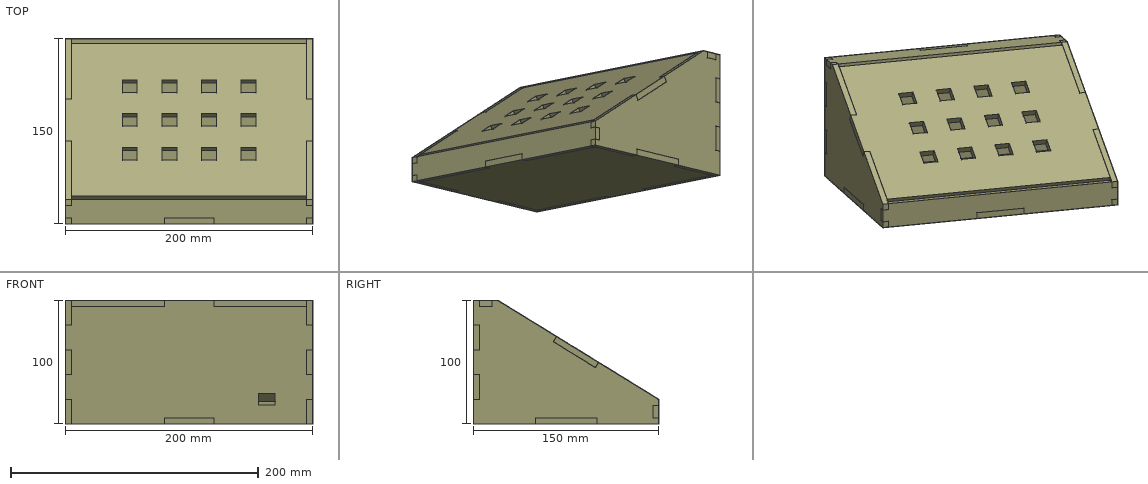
import cadquery as cq
import math


width = 200.0
depth = 150.0
tall_height = 100.0
low_height = 20.0
ridge_depth = 20.0
sheet = 5.0

centre_tab = 40.0
floor_side_tab = 50.0
short_tab = 10.0
finger_count = 5
finger_height = tall_height / finger_count

cover_start = 3.0
cover_length = 144.8

key_size = 12.0
key_pitch = 32.0
key_columns = 4
key_rows = 3

window_width = 13.5
window_height = 9.2
window_x = 162.8
window_z = 20.0

slope_run = depth - ridge_depth
slope_rise = tall_height - low_height
slope_angle = math.atan2(slope_rise, slope_run)
cover_end = cover_start + cover_length
cover_middle = cover_start + cover_length / 2

slope_plane = cq.Plane(
    origin=(0, ridge_depth, tall_height),
    xDir=(1, 0, 0),
    normal=(0, math.sin(slope_angle), math.cos(slope_angle)),
)


def block(x_range, y_range, z_range, plane="XY"):
    """Box between the given limits, measured in the given plane."""
    size = [high - low for low, high in (x_range, y_range, z_range)]
    centre = [(low + high) / 2 for low, high in (x_range, y_range, z_range)]
    return cq.Workplane(plane).workplane(offset=centre[2]).center(*centre[:2]).box(*size)


def span(middle, length):
    """Limits of a length centred on a position."""
    return (middle - length / 2, middle + length / 2)


middle_x = width / 2
across = (0, width)
between_sides = (sheet, width - sheet)
middle_tab_x = span(middle_x, centre_tab)
floor_z = (0, sheet)
roof_z = (tall_height - sheet, tall_height)
tall_wall_y = (0, sheet)
low_wall_y = (depth - sheet, depth)
cover_z = (-sheet, 0)


def floor_panel():
    body = block(between_sides, (sheet, depth - sheet), floor_z)
    side_tabs = block(across, span(depth / 2, floor_side_tab), floor_z)
    wall_tabs = block(middle_tab_x, (0, depth), floor_z)
    return body.union(side_tabs).union(wall_tabs)


def roof_panel():
    body = block(between_sides, (0, ridge_depth), roof_z)
    side_tabs = block(across, span(ridge_depth / 2, short_tab), roof_z)
    wall_notch = block(middle_tab_x, tall_wall_y, roof_z)
    return body.union(side_tabs).cut(wall_notch)


def tall_wall_panel(floor, roof):
    body = block(between_sides, tall_wall_y, (0, tall_height))
    for finger in range(1, finger_count, 2):
        finger_z = (finger * finger_height, (finger + 1) * finger_height)
        body = body.union(block(across, tall_wall_y, finger_z))
    window = block(span(window_x, window_width), tall_wall_y, span(window_z, window_height))
    return body.cut(window).cut(floor).cut(roof)


def low_wall_panel(floor):
    body = block(between_sides, low_wall_y, (0, low_height))
    side_tabs = block(across, low_wall_y, span(low_height / 2, short_tab))
    return body.union(side_tabs).cut(floor)


def sloped_cover():
    body = block(between_sides, (cover_start, cover_end), cover_z, slope_plane)
    side_tabs = block(across, span(cover_middle, centre_tab), cover_z, slope_plane)
    key_openings = (
        cq.Workplane(slope_plane)
        .center(middle_x, cover_middle)
        .rarray(key_pitch, key_pitch, key_columns, key_rows)
        .rect(key_size, key_size)
        .extrude(-sheet)
    )
    return body.union(side_tabs).cut(key_openings)


def side_panel(start_x, neighbours):
    """Side panel starting at the given X, notched for the tabs of the panels between the sides."""
    outline = [
        (0, 0),
        (depth, 0),
        (depth, low_height),
        (ridge_depth, tall_height),
        (0, tall_height),
    ]
    body = cq.Workplane("YZ", origin=(start_x, 0, 0)).polyline(outline).close().extrude(sheet)
    for neighbour in neighbours:
        body = body.cut(neighbour)
    return body


floor = floor_panel()
roof = roof_panel()
tall_wall = tall_wall_panel(floor, roof)
low_wall = low_wall_panel(floor)
cover = sloped_cover()
tabbed_panels = [floor, roof, tall_wall, low_wall, cover]
sides = [side_panel(x, tabbed_panels) for x in (0, width - sheet)]

result = cq.Compound.makeCompound([panel.val() for panel in tabbed_panels + sides])